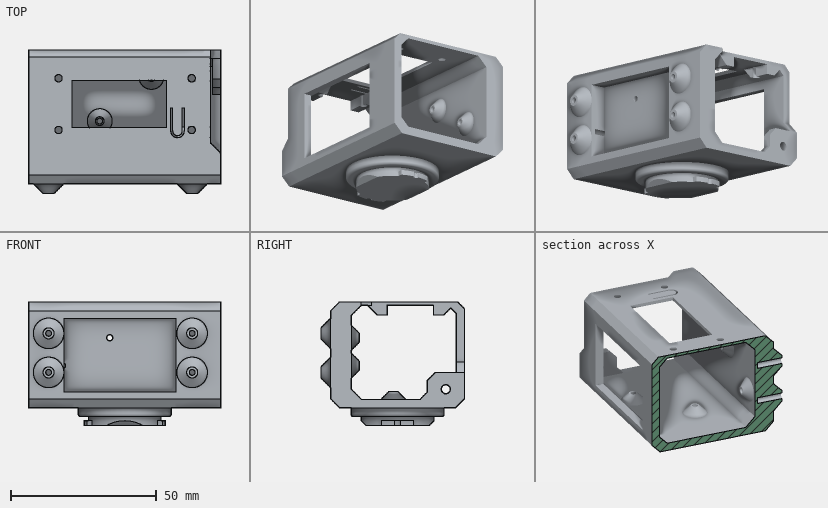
import cadquery as cq


LENGTH = 66.03
DEPTH = 46.0
HEIGHT = 36.4
FRONT_WALL = 7.15
REAR_WALL = 2.9
FLOOR = 2.95
ROOF = 1.2
OUTER_CHAMFER = 3.1
REAR_TOP_CHAMFER = 2.4
INNER_FRONT_CHAMFER = 3.4
INNER_REAR_CHAMFER = 2.85

LEFT = -LENGTH / 2
RIGHT = LENGTH / 2
FRONT = -DEPTH / 2
REAR = DEPTH / 2
INNER_FRONT = FRONT + FRONT_WALL
INNER_REAR = REAR - REAR_WALL
CEILING = HEIGHT - ROOF

PILOT_DIAMETER = 2.0
OUTER_BOSS_HEIGHT = 3.35
OUTER_BOSS_TIP = 3.8
OUTER_BOSS_PILOT_DEPTH = 6.0
OUTER_BOSS_CENTER = (-1.5, 18.87)
OUTER_BOSS_SPACING = (49.28, 13.4)

INNER_BOSS_HEIGHT = 2.75
INNER_BOSS_TIP = 3.02
WALL_BOSSES = [(-21.3, 14.48), (-5.16, 24.05)]
WALL_BOSS_PILOT_DEPTH = 5.5
FLOOR_BOSSES = [(-8.58, -1.45), (9.15, 13.7)]
FLOOR_BOSS_PILOT_DEPTH = 2.0

POCKET_LENGTH = 38.4
POCKET_HEIGHT = 25.2
POCKET_DEPTH = 5.95
POCKET_CENTER = (-1.65, 18.1)
REAR_WINDOW_LEFT = -18.4
REAR_WINDOW_RIGHT = 19.8
REAR_WINDOW_TOP = 29.3

DISPLAY_CENTER = (-1.85, 4.4)
DISPLAY_LENGTH = 32.5
DISPLAY_WIDTH = 16.2
DISPLAY_HOLE_DIAMETER = 2.54
DISPLAY_HOLE_CENTER = (0.12, 4.38)
DISPLAY_HOLE_SPACING = (45.7, 17.75)

TAB_X = 18.1
TAB_ROOT_Y = 3.0
TAB_LENGTH = 10.15
TAB_OUTER_WIDTH = 4.65
TAB_SLIT = 0.7

BLOCK_DROP = 3.4
BLOCK_WIDTH = 6.9
BLOCK_GAP = 15.8
BLOCK_START = 18.0

CUTOUT_LENGTH = 3.6
CUTOUT_FRONT = -8.9
LUG_THICKNESS = 2.9
LUG_TOP = 12.2
LUG_REACH = 9.95
LUG_CORNER = 2.8
LUG_FOOT_TOP = 5.4
LUG_HOLE_DIAMETER = 3.02
LUG_HOLE = (16.53, 6.4)

FLANGE_DIAMETER = 32.0
FLANGE_THICKNESS = 3.05
FLANGE_FILLET = 0.9
NECK_DIAMETER = 25.0
MOUNT_HEIGHT = 6.12
BAYONET_RING_DIAMETER = 28.0
BAYONET_WIDTH = 11.0
BAYONET_THICKNESS = 1.7
DETENT_DIAMETER = 2.0


def chamfered_outline(front, rear, bottom, top, front_chamfer, rear_chamfer, rear_top_chamfer):
    """Octagon in the YZ plane, extruded along the whole housing."""
    points = [
        (front + front_chamfer, bottom),
        (rear - rear_chamfer, bottom),
        (rear, bottom + rear_chamfer),
        (rear, top - rear_top_chamfer),
        (rear - rear_top_chamfer, top),
        (front + front_chamfer, top),
        (front, top - front_chamfer),
        (front, bottom + front_chamfer),
    ]
    return cq.Workplane("YZ", origin=(LEFT, 0, 0)).polyline(points).close().extrude(LENGTH)


def box(x_range, y_range, z_range):
    size = [high - low for low, high in (x_range, y_range, z_range)]
    return cq.Workplane("XY").box(*size, centered=False).translate((x_range[0], y_range[0], z_range[0]))


def cone_boss(base, direction, height, tip_diameter):
    tip_radius = tip_diameter / 2
    return cq.Solid.makeCone(tip_radius + height, tip_radius, height, cq.Vector(*base), cq.Vector(*direction))


def pilot_hole(base, direction, height, depth):
    """Hole that starts at the boss tip and goes the given depth below the boss base."""
    axis = cq.Vector(*direction)
    tip = cq.Vector(*base) + axis * height
    return cq.Solid.makeCylinder(PILOT_DIAMETER / 2, height + depth, tip, axis * -1)


def add_bosses(body, bases, direction, height, tip_diameter, pilot_depth):
    for base in bases:
        body = body.union(cq.Workplane(cone_boss(base, direction, height, tip_diameter)))
    for base in bases:
        body = body.cut(cq.Workplane(pilot_hole(base, direction, height, pilot_depth)))
    return body


def four_corners(center, spacing):
    return [
        (center[0] + side_x * spacing[0] / 2, center[1] + side_y * spacing[1] / 2)
        for side_x in (-1, 1)
        for side_y in (-1, 1)
    ]


def support_block(side):
    """Block under the roof beside the display, with a ramp at its left and a sloped outer side."""
    inner = DISPLAY_CENTER[1] + side * BLOCK_GAP / 2
    outer = inner + side * BLOCK_WIDTH
    end = RIGHT - CUTOUT_LENGTH
    bottom = CEILING - BLOCK_DROP
    section = [
        (inner, HEIGHT),
        (outer, HEIGHT),
        (outer, CEILING),
        (outer - side * BLOCK_DROP, bottom),
        (inner, bottom),
    ]
    block = (
        cq.Workplane("YZ", origin=(BLOCK_START, 0, 0))
        .polyline(section)
        .close()
        .extrude(end - BLOCK_START)
    )
    ramp = (
        cq.Workplane("XZ", origin=(0, REAR, 0))
        .polyline([(BLOCK_START, CEILING), (BLOCK_START + BLOCK_DROP, bottom), (BLOCK_START, bottom)])
        .close()
        .extrude(DEPTH)
    )
    return block.cut(ramp)


def tab_slit():
    """U-shaped slit through the roof that frees a round-ended spring tab."""
    outer_radius = TAB_OUTER_WIDTH / 2
    arc_y = TAB_ROOT_Y - TAB_LENGTH + outer_radius

    def rounded_tongue(radius):
        return (
            cq.Workplane("XY", origin=(TAB_X, 0, CEILING))
            .moveTo(-radius, TAB_ROOT_Y)
            .lineTo(-radius, arc_y)
            .threePointArc((0, arc_y - radius), (radius, arc_y))
            .lineTo(radius, TAB_ROOT_Y)
            .close()
            .extrude(ROOF)
        )

    return rounded_tongue(outer_radius).cut(rounded_tongue(outer_radius - TAB_SLIT))


def corner_cutout():
    """Cut through the roof and rear wall at the right end, with a 45 degree slope at both ends."""
    start = RIGHT - CUTOUT_LENGTH
    slope_top = LUG_TOP + CUTOUT_LENGTH
    roof_outline = [
        (start, REAR),
        (RIGHT, REAR),
        (RIGHT, CUTOUT_FRONT - CUTOUT_LENGTH),
        (start, CUTOUT_FRONT),
    ]
    roof_cut = (
        cq.Workplane("XY", origin=(0, 0, slope_top))
        .polyline(roof_outline)
        .close()
        .extrude(HEIGHT - slope_top)
    )
    wall_slope = (
        cq.Workplane("XZ", origin=(0, REAR, 0))
        .polyline([(start, slope_top), (RIGHT, slope_top), (RIGHT, LUG_TOP)])
        .close()
        .extrude(REAR_WALL)
    )
    return roof_cut.union(wall_slope)


def screw_lug():
    """Plate in the lower rear corner of the right end."""
    tip = INNER_REAR - LUG_REACH
    profile = [
        (INNER_REAR, FLOOR),
        (tip - (LUG_FOOT_TOP - FLOOR), FLOOR),
        (tip, LUG_FOOT_TOP),
        (tip, LUG_TOP - LUG_CORNER),
        (tip + LUG_CORNER, LUG_TOP),
        (INNER_REAR, LUG_TOP),
    ]
    plate = cq.Workplane("YZ", origin=(RIGHT - LUG_THICKNESS, 0, 0))
    hole = plate.center(*LUG_HOLE).circle(LUG_HOLE_DIAMETER / 2).extrude(LUG_THICKNESS)
    return plate.polyline(profile).close().extrude(LUG_THICKNESS).cut(hole)


def build_housing():
    outside = chamfered_outline(FRONT, REAR, 0, HEIGHT, OUTER_CHAMFER, OUTER_CHAMFER, REAR_TOP_CHAMFER)
    inside = chamfered_outline(
        INNER_FRONT, INNER_REAR, FLOOR, CEILING,
        INNER_FRONT_CHAMFER, INNER_REAR_CHAMFER, INNER_REAR_CHAMFER,
    )
    housing = outside.cut(inside).union(screw_lug())
    for side in (-1, 1):
        housing = housing.union(support_block(side).intersect(outside))

    pocket_x, pocket_z = POCKET_CENTER
    housing = housing.cut(box(
        (pocket_x - POCKET_LENGTH / 2, pocket_x + POCKET_LENGTH / 2),
        (FRONT, FRONT + POCKET_DEPTH),
        (pocket_z - POCKET_HEIGHT / 2, pocket_z + POCKET_HEIGHT / 2),
    ))
    housing = housing.cut(box(
        (REAR_WINDOW_LEFT, REAR_WINDOW_RIGHT),
        (INNER_REAR, REAR),
        (FLOOR + INNER_REAR_CHAMFER, REAR_WINDOW_TOP),
    ))
    display_x, display_y = DISPLAY_CENTER
    housing = housing.cut(box(
        (display_x - DISPLAY_LENGTH / 2, display_x + DISPLAY_LENGTH / 2),
        (display_y - DISPLAY_WIDTH / 2, display_y + DISPLAY_WIDTH / 2),
        (CEILING, HEIGHT),
    ))
    screw_holes = (
        cq.Workplane("XY", origin=(0, 0, CEILING - BLOCK_DROP))
        .pushPoints(four_corners(DISPLAY_HOLE_CENTER, DISPLAY_HOLE_SPACING))
        .circle(DISPLAY_HOLE_DIAMETER / 2)
        .extrude(ROOF + BLOCK_DROP)
    )
    housing = housing.cut(screw_holes).cut(tab_slit()).cut(corner_cutout())

    outer_bases = [(x, FRONT, z) for x, z in four_corners(OUTER_BOSS_CENTER, OUTER_BOSS_SPACING)]
    wall_bases = [(x, INNER_FRONT, z) for x, z in WALL_BOSSES]
    floor_bases = [(x, y, FLOOR) for x, y in FLOOR_BOSSES]
    housing = add_bosses(
        housing, outer_bases, (0, -1, 0), OUTER_BOSS_HEIGHT, OUTER_BOSS_TIP, OUTER_BOSS_PILOT_DEPTH
    )
    housing = add_bosses(
        housing, wall_bases, (0, 1, 0), INNER_BOSS_HEIGHT, INNER_BOSS_TIP, WALL_BOSS_PILOT_DEPTH
    )
    return add_bosses(
        housing, floor_bases, (0, 0, 1), INNER_BOSS_HEIGHT, INNER_BOSS_TIP, FLOOR_BOSS_PILOT_DEPTH
    )


def build_mount():
    """Round flange and neck under the housing, with two bayonet lugs on the neck."""
    flange = (
        cq.Workplane("XY")
        .circle(FLANGE_DIAMETER / 2)
        .extrude(-FLANGE_THICKNESS)
        .faces("<Z")
        .edges()
        .fillet(FLANGE_FILLET)
    )
    neck_radius = NECK_DIAMETER / 2
    neck = cq.Workplane("XY").circle(neck_radius).extrude(-MOUNT_HEIGHT)
    for side in (-1, 1):
        neck_cut = [
            (side * neck_radius, -MOUNT_HEIGHT),
            (side * neck_radius, BAYONET_THICKNESS - MOUNT_HEIGHT),
            (side * (neck_radius - BAYONET_THICKNESS), -MOUNT_HEIGHT),
        ]
        neck = neck.cut(
            cq.Workplane("YZ").polyline(neck_cut).close().extrude(neck_radius, both=True)
        )
    bayonet_end = cq.Workplane("XY", origin=(0, 0, -MOUNT_HEIGHT))
    ring_radius = BAYONET_RING_DIAMETER / 2
    ring = bayonet_end.circle(ring_radius).circle(neck_radius).extrude(BAYONET_THICKNESS)
    strip = bayonet_end.rect(BAYONET_RING_DIAMETER, BAYONET_WIDTH).extrude(BAYONET_THICKNESS)
    detents = (
        bayonet_end.pushPoints([(-ring_radius, 0), (ring_radius, 0)])
        .circle(DETENT_DIAMETER / 2)
        .extrude(BAYONET_THICKNESS)
    )
    return flange.union(neck).union(ring.intersect(strip).cut(detents))


housing = build_housing()
mount = build_mount()
result = cq.Compound.makeCompound([housing.val(), mount.val()])